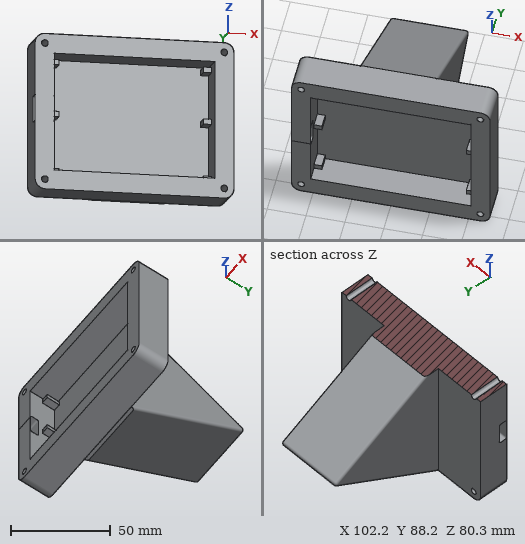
import cadquery as cq
import math

frame_width = 102.2
frame_height = 80.3
frame_depth = 18.0
corner_radius = 5.0
screw_hole_diameter = 3.4

pocket_width = 82.5
pocket_height = 60.2
pocket_depth = 15.1

tab_length = 4.1
tab_thickness = 2.7
tab_reach = 7.6
top_tab_gap = 1.3
middle_tab_z = 0.7

slot_height = 13.4
slot_depth = 4.9
slot_skin = 0.2
slot_radius = 1.0
slot_center_z = 1.7

overall_depth = 88.2
wedge_width = 40.2
wedge_round = 1.5
wedge_overlap = 2.0
wedge_apex_z = 0.2
wedge_top_angle = 29.1
wedge_bottom_angle = 29.9
wedge_bottom_z = -39.9


def block(width, depth, height, x=0, front=0, z=0):
    """Box centred on x and z, running back from y = front."""
    return cq.Workplane("XY").box(width, depth, height).translate((x, front + depth / 2, z))


def make_frame():
    frame = block(frame_width, frame_depth, frame_height).edges("|Y").fillet(corner_radius)
    pocket = block(pocket_width, pocket_depth, pocket_height)
    hole_pitch_x = frame_width - 2 * corner_radius
    hole_pitch_z = frame_height - 2 * corner_radius
    holes = (
        cq.Workplane("XZ")
        .rect(hole_pitch_x, hole_pitch_z, forConstruction=True)
        .vertices()
        .circle(screw_hole_diameter / 2)
        .extrude(-frame_depth)
    )
    return frame.cut(pocket).cut(holes)


def make_wedge():
    top_slope = math.tan(math.radians(wedge_top_angle))
    bottom_slope = math.tan(math.radians(wedge_bottom_angle))
    half_apex = math.radians((wedge_top_angle + wedge_bottom_angle) / 2)
    sharp_apex_y = overall_depth + wedge_round * (1 / math.sin(half_apex) - 1)
    base_y = frame_depth - wedge_overlap
    run = sharp_apex_y - base_y
    wedge = (
        cq.Workplane("YZ")
        .moveTo(base_y, wedge_apex_z + run * top_slope)
        .lineTo(sharp_apex_y, wedge_apex_z)
        .lineTo(base_y, wedge_apex_z - run * bottom_slope)
        .close()
        .extrude(wedge_width / 2, both=True)
    )
    wedge = wedge.edges("not <Y").fillet(wedge_round)

    top_z = frame_height / 2
    limits = block(
        wedge_width,
        overall_depth,
        top_z - wedge_bottom_z,
        z=(top_z + wedge_bottom_z) / 2,
    )
    return wedge.intersect(limits)


def add_tabs(body):
    top_tab_z = pocket_height / 2 - top_tab_gap - tab_thickness / 2
    bottom_tab_z = -pocket_height / 2 + tab_thickness / 2
    tab_x = (pocket_width - tab_length) / 2
    for side in (-1, 1):
        for z in (top_tab_z, middle_tab_z, bottom_tab_z):
            tab = block(tab_length, tab_reach, tab_thickness, side * tab_x, pocket_depth - tab_reach, z)
            body = body.union(tab)
    return body


def make_slot():
    wall = (frame_width - pocket_width) / 2
    slot_x = -(frame_width - wall) / 2
    slot = block(wall, slot_depth, slot_height, slot_x, slot_skin, slot_center_z)
    return slot.edges("|X").fillet(slot_radius)


body = make_frame().union(make_wedge())
result = add_tabs(body).cut(make_slot())